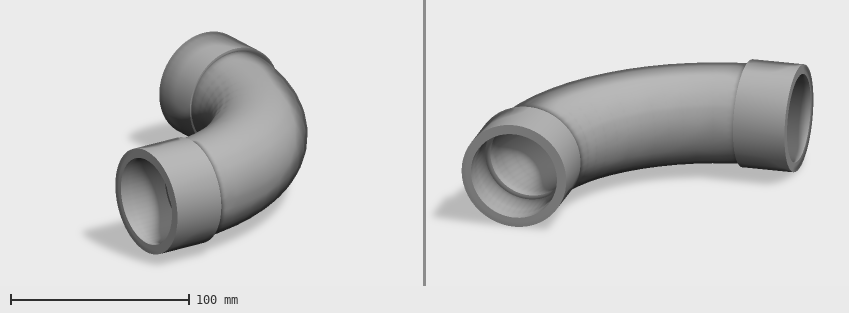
import cadquery as cq

overall_length = 160.5
collar_diameter = 61.0
collar_length = 30.0
socket_diameter = 50.0
socket_depth = collar_length
pipe_diameter = 56.7
bore_diameter = 45.3
end_to_bend = 16.9

axis_reach = overall_length - collar_diameter / 2
bend_radius = axis_reach - end_to_bend

end_planes = [
    cq.Plane(origin=(-axis_reach, 0, 0), xDir=(0, 1, 0), normal=(1, 0, 0)),
    cq.Plane(origin=(0, -axis_reach, 0), xDir=(1, 0, 0), normal=(0, 1, 0)),
]


def end_cylinder(plane, diameter, length):
    """Cylinder running inward from an end face."""
    return cq.Workplane(plane).circle(diameter / 2).extrude(length)


def elbow(diameter):
    """Solid quarter bend with a straight run to each end face."""
    bend_start = cq.Plane(origin=(-bend_radius, 0, 0), xDir=(0, 1, 0), normal=(1, 0, 0))
    body = (
        cq.Workplane(bend_start)
        .circle(diameter / 2)
        .revolve(90, (-bend_radius, 1.6, 0), (-bend_radius, 0, 0))
    )
    for plane in end_planes:
        body = body.union(end_cylinder(plane, diameter, end_to_bend))
    return body


result = elbow(pipe_diameter)
for end_plane in end_planes:
    result = result.union(end_cylinder(end_plane, collar_diameter, collar_length))

result = result.cut(elbow(bore_diameter))
for end_plane in end_planes:
    result = result.cut(end_cylinder(end_plane, socket_diameter, socket_depth))